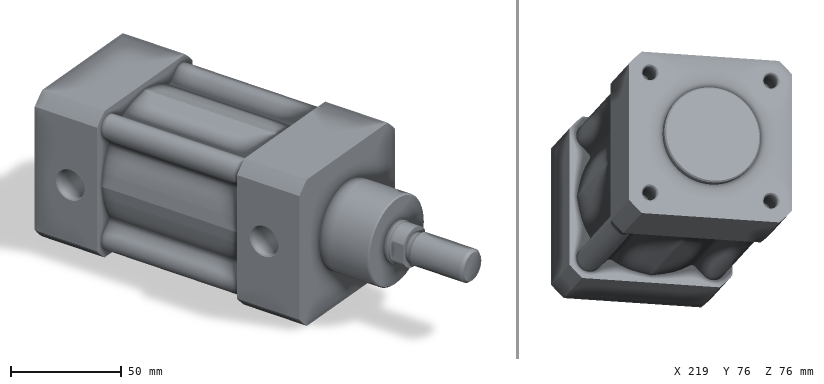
import cadquery as cq
import math

total_length = 219.0
spigot_length = 4.2
cap_length = 34.4
barrel_length = 77.0
nose_length = 27.2
collar_length = 2.2

rear_cap_start = spigot_length
barrel_start = rear_cap_start + cap_length
front_cap_start = barrel_start + barrel_length
nose_start = front_cap_start + cap_length
nose_end = nose_start + nose_length
collar_end = nose_end + collar_length

cap_width = 76.0
cap_corner_radius = 49.7
spigot_radius = 22.3
rim_chamfer = 0.7
collar_radius = 10.3
collar_chamfer = 0.2

mount_hole_offset = 28.3
mount_hole_radius = 3.3
mount_hole_depth = 15.3
mount_hole_chamfer = 0.7

port_radius = 7.5
port_depth = 22.0
port_chamfer = 0.5
port_inset = 19.5
port_height = 2.5

barrel_radius = 34.0
ridge_half_width = 6.4
lobe_offset = 29.0
lobe_radius = 6.0
lobe_root_radius = 2.2
root_tolerance = 0.2

rod_radius = 9.9
flat_half_width = 8.5
flat_start = 180.5
shoulder_x = 187.0
neck_radius = 7.2
neck_length = 1.3
neck_runout_length = 2.0
thread_radius = 8.0
thread_tip_radius = 7.0
thread_tip_length = 1.3


def cylinder(start_x, length, radius):
    """Cylinder on the X axis."""
    return cq.Workplane("YZ", origin=(start_x, 0, 0)).circle(radius).extrude(length)


def cap_block(start_x):
    """Square cap block whose corners follow a large cylinder."""
    block = cq.Workplane("YZ", origin=(start_x, 0, 0)).rect(cap_width, cap_width).extrude(cap_length)
    return block.intersect(cylinder(start_x, cap_length, cap_corner_radius))


def port(x, z):
    """Cutter for a blind port, chamfered where it opens in the -Y face."""
    face_y = -cap_width / 2
    mouth_radius = port_radius + port_chamfer
    outline = [
        (0, face_y),
        (mouth_radius, face_y),
        (port_radius, face_y + port_chamfer),
        (port_radius, face_y + port_depth),
        (0, face_y + port_depth),
    ]
    cutter = cq.Workplane("XY").polyline(outline).close().revolve(360, (0, 0, 0), (0, 1, 0))
    return cutter.translate((x, 0, z))


def mount_hole(y, z):
    """Cutter for a blind hole, chamfered where it opens in the rear face."""
    mouth_radius = mount_hole_radius + mount_hole_chamfer
    outline = [
        (0, 0),
        (0, mouth_radius),
        (mount_hole_chamfer, mount_hole_radius),
        (mount_hole_depth, mount_hole_radius),
        (mount_hole_depth, 0),
    ]
    cutter = cq.Workplane("XY").polyline(outline).close().revolve(360, (0, 0, 0), (1, 0, 0))
    return cutter.translate((rear_cap_start, y, z))


def make_rear_cap():
    spigot = cylinder(0, spigot_length, spigot_radius).faces("<X").chamfer(rim_chamfer)
    cap = cap_block(rear_cap_start).union(spigot)
    for y in (-mount_hole_offset, mount_hole_offset):
        for z in (-mount_hole_offset, mount_hole_offset):
            cap = cap.cut(mount_hole(y, z))
    return cap.cut(port(rear_cap_start + port_inset, -port_height))


def make_front_cap():
    nose = cylinder(nose_start, nose_length, spigot_radius).faces(">X").chamfer(rim_chamfer)
    collar = cylinder(nose_end, collar_length, collar_radius).faces(">X").chamfer(collar_chamfer)
    cap = cap_block(front_cap_start).union(nose).union(collar)
    cap = cap.cut(port(nose_start - port_inset, port_height))
    return cap.cut(cylinder(front_cap_start, collar_end - front_cap_start, rod_radius))


def barrel_ridge():
    """Ridge on the +Y side: two flats tangent to the round body that meet in a crest."""
    tangent_y = math.sqrt(barrel_radius**2 - ridge_half_width**2)
    crest_y = barrel_radius**2 / tangent_y
    outline = [(0, 0), (tangent_y, -ridge_half_width), (crest_y, 0), (tangent_y, ridge_half_width)]
    return cq.Workplane("YZ", origin=(barrel_start, 0, 0)).polyline(outline).close().extrude(barrel_length)


def barrel_lobe():
    """Lobe pointing along +Y: a round bead on a neck of the same width."""
    lobe_distance = lobe_offset * math.sqrt(2)
    return (
        cq.Workplane("YZ", origin=(barrel_start, 0, 0))
        .center(lobe_distance / 2, 0)
        .rect(lobe_distance, 2 * lobe_radius)
        .extrude(barrel_length)
        .union(cylinder(barrel_start, barrel_length, lobe_radius).translate((0, lobe_distance, 0)))
    )


def make_barrel():
    barrel = cylinder(barrel_start, barrel_length, barrel_radius)
    lobe = barrel_lobe()
    for quarter in range(4):
        barrel = barrel.union(lobe.rotate((0, 0, 0), (1, 0, 0), 45 + 90 * quarter))
    root_reach = barrel_radius + root_tolerance
    roots = barrel.edges("|X").filter(
        lambda edge: math.hypot(edge.Center().y, edge.Center().z) < root_reach
    )
    barrel = roots.fillet(lobe_root_radius)
    ridge = barrel_ridge()
    for quarter in range(4):
        barrel = barrel.union(ridge.rotate((0, 0, 0), (1, 0, 0), 90 * quarter))
    return barrel


def make_rod():
    neck_end = shoulder_x + neck_length
    rod = (
        cq.Workplane("XY")
        .moveTo(front_cap_start, 0)
        .lineTo(front_cap_start, rod_radius)
        .lineTo(shoulder_x, rod_radius)
        .lineTo(shoulder_x, neck_radius)
        .lineTo(neck_end, neck_radius)
        .tangentArcPoint((neck_end + neck_runout_length, thread_radius), relative=False)
        .lineTo(total_length - thread_tip_length, thread_radius)
        .lineTo(total_length, thread_tip_radius)
        .lineTo(total_length, 0)
        .close()
        .revolve(360, (0, 0, 0), (1, 0, 0))
    )
    flat_length = shoulder_x - flat_start
    for side in (-1, 1):
        flat_cut = cq.Workplane("XY").box(flat_length, rod_radius, 2 * rod_radius).translate(
            (flat_start + flat_length / 2, side * (flat_half_width + rod_radius / 2), 0)
        )
        rod = rod.cut(flat_cut)
    return rod


rear_cap = make_rear_cap()
barrel = make_barrel()
front_cap = make_front_cap()
rod = make_rod()

result = cq.Compound.makeCompound([
    rear_cap.solids().val(),
    barrel.solids().val(),
    front_cap.solids().val(),
    rod.solids().val(),
])